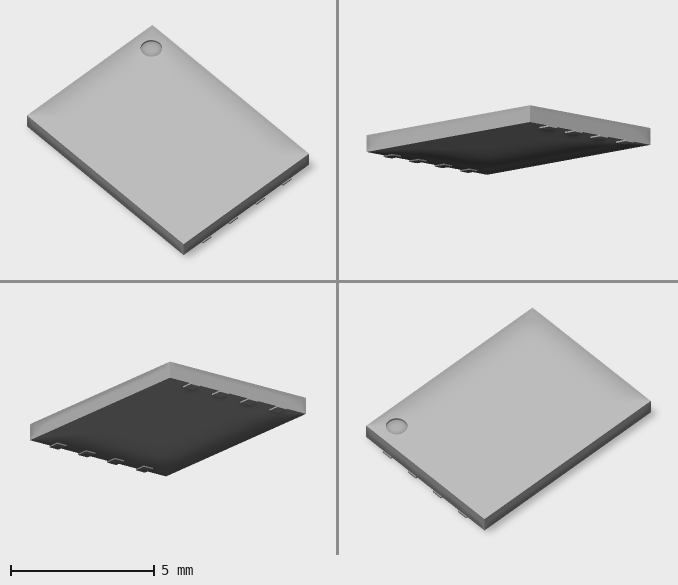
import cadquery as cq

OVERALL_LENGTH = 8.1
PACKAGE_WIDTH = 6.0
OVERALL_HEIGHT = 0.65

PADS_PER_SIDE = 4
PAD_PITCH = 1.27
PAD_LENGTH = 0.45
PAD_WIDTH = 0.405
PAD_THICKNESS = 0.065
PAD_OVERHANG = 0.05
PAD_STANDOFF = 0.05

MARKER_DIAMETER = 0.75
MARKER_INSET = 0.75
MARKER_DEPTH = 0.08

PACKAGE_LENGTH = OVERALL_LENGTH - 2 * PAD_OVERHANG
PACKAGE_HEIGHT = OVERALL_HEIGHT - PAD_STANDOFF


def make_pad(side, row):
    """One rectangular pad; side is -1 or +1 along X, row counts along +Y."""
    x = side * (OVERALL_LENGTH - PAD_LENGTH) / 2
    y = (row - (PADS_PER_SIDE - 1) / 2) * PAD_PITCH
    pad = cq.Workplane("XY").box(PAD_LENGTH, PAD_WIDTH, PAD_THICKNESS, centered=(True, True, False))
    return pad.translate((x, y, 0))


def make_package(pads):
    """Flat package with the pin-one marker and a recess for each pad."""
    package = (
        cq.Workplane("XY", origin=(0, 0, PAD_STANDOFF))
        .box(PACKAGE_LENGTH, PACKAGE_WIDTH, PACKAGE_HEIGHT, centered=(True, True, False))
    )
    marker_x = -PACKAGE_LENGTH / 2 + MARKER_INSET
    marker_y = PACKAGE_WIDTH / 2 - MARKER_INSET
    marker = (
        cq.Workplane("XY", origin=(marker_x, marker_y, OVERALL_HEIGHT))
        .circle(MARKER_DIAMETER / 2)
        .extrude(-MARKER_DEPTH)
    )
    package = package.cut(marker)
    for pad in pads:
        package = package.cut(pad)
    return package


pads = [make_pad(side, row) for side in (-1, 1) for row in range(PADS_PER_SIDE)]
package = make_package(pads)

result = cq.Compound.makeCompound([package.val(), *[pad.val() for pad in pads]])